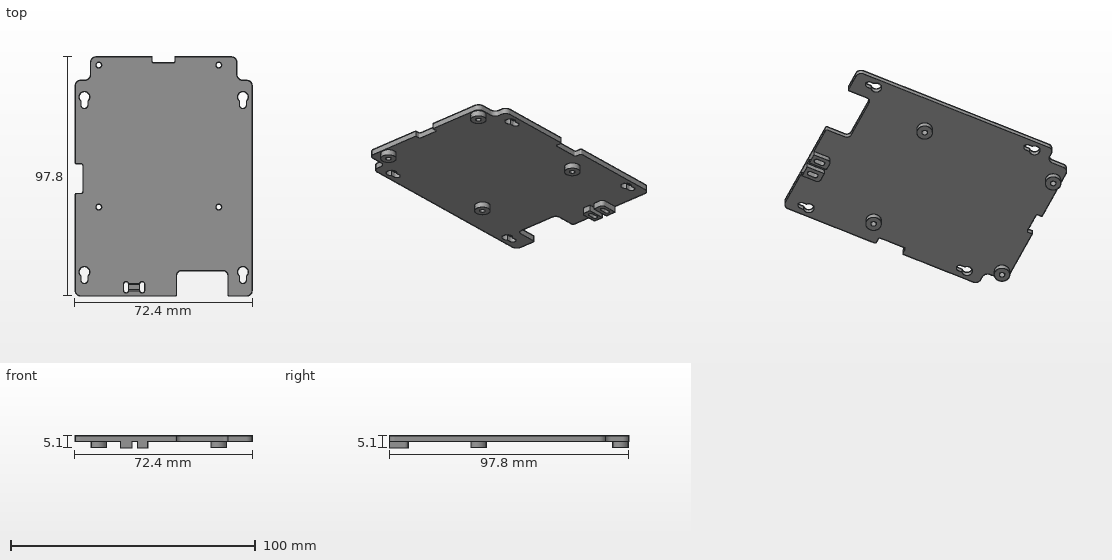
import cadquery as cq

width = 72.4
length = 97.8
plate_thickness = 2.4
total_height = 5.1
corner_radius = 2.3
small_radius = 0.6

shoulder_inset = 6.3
shoulder_y = 88.2

end_notch_left = 31.5
end_notch_right = 40.8
end_notch_depth = 2.4
side_notch_bottom = 42.0
side_notch_top = 54.0
side_notch_depth = 3.1
cutout_left = 41.5
cutout_right = 62.4
cutout_depth = 10.4
cutout_radius = 2.0

standoff_diameter = 6.4
standoff_height = 2.4
hole_diameter = 2.25
hole_columns = (9.7, 58.7)
hole_rows = (36.4, 94.4)

keyhole_head_diameter = 4.3
keyhole_neck_diameter = 2.7
keyhole_drop = 3.3
keyhole_columns = (3.8, 68.55)
keyhole_rows = (9.9, 81.4)

anchor_left = 18.5
anchor_right = 29.7
anchor_depth = 7.7
anchor_radius = 1.5
channel_left = 23.3
channel_right = 25.4
tie_slot_width = 2.0
tie_slot_bottom = 1.4
tie_slot_top = 5.9
tie_slot_radius = 0.9
tie_slot_columns = (20.8, 27.4)
bridge_recess_bottom = 2.7
bridge_recess_top = 4.8
bridge_recess_depth = 1.0
bridge_rim_front = 0.6
bridge_rim_back = 0.4
bridge_rim_depth = 0.5


def box(x_range, y_range, z_range):
    """Box spanning the given coordinate ranges."""
    size = [end - start for start, end in (x_range, y_range, z_range)]
    start = (x_range[0], y_range[0], z_range[0])
    return cq.Workplane("XY").box(*size, centered=False).translate(start)


def round_corners(body, points, radius):
    """Fillet the upright plate edges that stand at the given points."""
    for x, y in points:
        edge = cq.selectors.NearestToPointSelector((x, y, plate_thickness / 2))
        body = body.edges("|Z").edges(edge).fillet(radius)
    return body


def make_plate():
    tongue_left = shoulder_inset
    tongue_right = width - shoulder_inset
    notch_floor = length - end_notch_depth
    large_corners = [(0, 0), (width, 0)]
    large_corners += [(width, shoulder_y), (tongue_right, shoulder_y), (tongue_right, length)]
    large_corners += [(tongue_left, length), (tongue_left, shoulder_y), (0, shoulder_y)]
    cutout_mouth = [(cutout_left, 0), (cutout_right, 0)]
    cutout_roof = [(cutout_left, cutout_depth), (cutout_right, cutout_depth)]
    end_notch_mouth = [(end_notch_right, length), (end_notch_left, length)]
    end_notch_floor = [(end_notch_right, notch_floor), (end_notch_left, notch_floor)]
    side_notch = [(0, side_notch_top), (side_notch_depth, side_notch_top)]
    side_notch += [(side_notch_depth, side_notch_bottom), (0, side_notch_bottom)]

    outline = [large_corners[0], cutout_mouth[0], *cutout_roof, cutout_mouth[1]]
    outline += large_corners[1:5]
    outline += [end_notch_mouth[0], *end_notch_floor, end_notch_mouth[1]]
    outline += large_corners[5:] + side_notch
    body = cq.Workplane("XY").polyline(outline).close().extrude(plate_thickness)
    body = round_corners(body, large_corners, corner_radius)
    body = round_corners(body, cutout_roof, cutout_radius)
    return round_corners(body, cutout_mouth + end_notch_floor + side_notch, small_radius)


def add_standoffs(body):
    centers = [(x, y) for x in hole_columns for y in hole_rows]
    plane = cq.Workplane("XY").pushPoints(centers)
    body = body.union(plane.circle(standoff_diameter / 2).extrude(-standoff_height))
    drill = cq.Workplane("XY", origin=(0, 0, -standoff_height)).pushPoints(centers)
    return body.cut(drill.circle(hole_diameter / 2).extrude(standoff_height + plate_thickness))


def cut_keyholes(body):
    centers = [(x, y) for x in keyhole_columns for y in keyhole_rows]
    heads = cq.Workplane("XY").pushPoints(centers)
    body = body.cut(heads.circle(keyhole_head_diameter / 2).extrude(plate_thickness))
    necks = cq.Workplane("XY").pushPoints([(x, y - keyhole_drop / 2) for x, y in centers])
    neck_length = keyhole_drop + keyhole_neck_diameter
    return body.cut(necks.slot2D(neck_length, keyhole_neck_diameter, 90).extrude(plate_thickness))


def add_tie_anchor(body):
    """Two feet split by a channel, with tie slots and a stepped recess between the slots."""
    anchor_bottom = plate_thickness - total_height
    foot_z = (anchor_bottom, 0)
    anchor = box((anchor_left, anchor_right), (0, anchor_depth), foot_z)
    anchor = anchor.edges("|Z and >Y").fillet(anchor_radius)
    anchor = anchor.cut(box((channel_left, channel_right), (0, anchor_depth), foot_z))
    body = body.union(anchor)

    rim_top = bridge_recess_top + bridge_rim_back
    rim_bottom = bridge_recess_bottom - bridge_rim_front
    rim_floor = plate_thickness - bridge_rim_depth
    recess_floor = plate_thickness - bridge_recess_depth
    body = body.cut(box(tie_slot_columns, (rim_bottom, rim_top), (rim_floor, plate_thickness)))
    recess_y = (bridge_recess_bottom, bridge_recess_top)
    body = body.cut(box(tie_slot_columns, recess_y, (recess_floor, plate_thickness)))

    for x in tie_slot_columns:
        x_range = (x - tie_slot_width / 2, x + tie_slot_width / 2)
        slot = box(x_range, (tie_slot_bottom, tie_slot_top), (anchor_bottom, plate_thickness))
        body = body.cut(slot.edges("|Z").fillet(tie_slot_radius))
    return body


result = add_tie_anchor(cut_keyholes(add_standoffs(make_plate())))